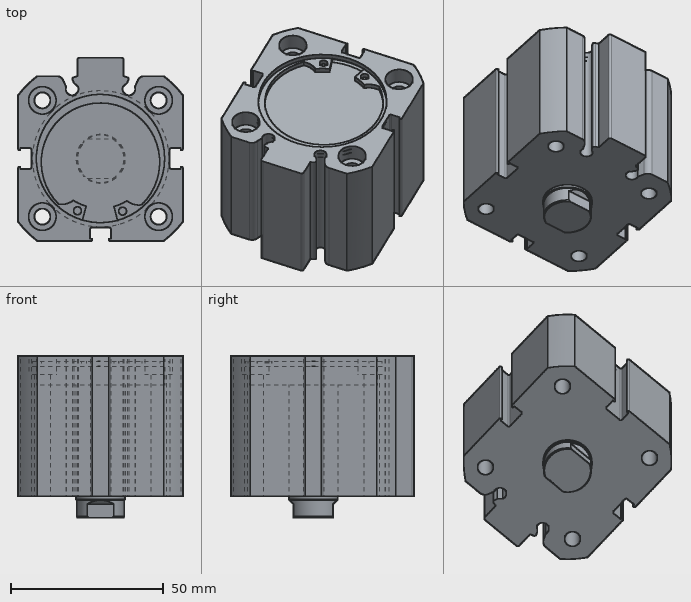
import cadquery as cq
import math


side = 54.0
half_side = side / 2
height = 45.95
corner_radius_from_axis = 34.0

rail_height = 6.0
rail_top_y = half_side + rail_height
rail_half_width = 7.55
rail_corner_radius = 0.7

groove_x = 9.3
groove_y = 22.75
groove_radius = 2.05
wall_foot_angle = 20.0
wall_top = (12.1, 25.45)
crest_middle = (12.85, 26.45)
crest_end_x = 14.2
lip_foot_angle = 155.0
lip_heel = (8.75, 24.7)
nose_lower = (9.2, 25.8)
nose_middle = (9.1, 26.35)
nose_upper = (8.65, 26.65)

slot_depth = 4.4
slot_width = 6.7
slot_mouth_width = 5.35
slot_lip = 0.8
slot_rounding = 0.5

bolt_spacing = 38.05
bolt_hole_diameter = 5.15
counterbore_diameter = 9.0
counterbore_depth = 5.95

bore_radius = 21.0
ring_recess = 1.75
ring_thickness = 1.7
cap_thickness = 6.0
ring_top_z = height - ring_recess
ring_bottom_z = ring_top_z - ring_thickness
cap_bottom_z = ring_bottom_z - cap_thickness

ring_outer_radius = 22.3
ring_inner_radius = 19.4
ring_inner_y = -1.2
ring_turn = -0.5
lug_radius = 16.3
lug_gap_angle = 16.2
lug_peak_angle = 32.5
ring_gap_angle = 15.8
lug_neck_middle = (11.4, -15.0)
ring_neck_x = 13.55
lug_hole = (7.4, -17.15)
lug_hole_diameter = 2.6

rod_diameter = 16.1
rod_end_diameter = 15.6
rod_protrusion = 7.0
rod_collar = 1.25
rod_end_chamfer_height = 0.5
rod_end_chamfer_inset = 0.25
flats_width = 13.0
flats_start = 2.5


def polar(radius, angle, center=(0, 0)):
    """Point at an angle in degrees, counted from +X."""
    turn = math.radians(angle)
    return (center[0] + radius * math.cos(turn), center[1] + radius * math.sin(turn))


def below_axis(radius, angle):
    """Point at an angle in degrees, counted from -Y toward +X."""
    return polar(radius, angle - 90)


def mirror_x(point):
    return (-point[0], point[1])


def cylinder(radius, bottom_z, top_z):
    """Solid cylinder on the bore axis between two heights."""
    return cq.Workplane("XY").workplane(offset=bottom_z).circle(radius).extrude(top_z - bottom_z)


def make_rail_groove():
    """Groove on the +X side of the rail, open toward +Y."""
    center = (groove_x, groove_y)
    return (
        cq.Workplane("XY")
        .moveTo(crest_end_x, half_side)
        .threePointArc(crest_middle, wall_top)
        .lineTo(*polar(groove_radius, wall_foot_angle, center))
        .threePointArc(polar(groove_radius, -90, center), polar(groove_radius, lip_foot_angle, center))
        .lineTo(*lip_heel)
        .lineTo(*nose_lower)
        .threePointArc(nose_middle, nose_upper)
        .lineTo(rail_half_width, half_side)
        .close()
        .extrude(height)
    )


def make_slot():
    """T-slot opening on the +X side."""
    channel_depth = slot_depth - slot_lip
    channel = (
        cq.Workplane("XY")
        .box(channel_depth, slot_width, height, centered=(False, True, False))
        .edges("|Z and <X")
        .fillet(slot_rounding)
        .translate((half_side - slot_depth, 0, 0))
    )
    half_mouth = slot_mouth_width / 2
    mouth = (
        cq.Workplane("XY")
        .moveTo(half_side - slot_lip, -half_mouth)
        .lineTo(half_side - slot_rounding, -half_mouth)
        .radiusArc((half_side, -half_mouth - slot_rounding), slot_rounding)
        .lineTo(half_side, half_mouth + slot_rounding)
        .radiusArc((half_side - slot_rounding, half_mouth), slot_rounding)
        .lineTo(half_side - slot_lip, half_mouth)
        .close()
        .extrude(height)
    )
    return channel.union(mouth)


def make_housing():
    block = cq.Workplane("XY").box(side, side, height, centered=(True, True, False))
    block = block.intersect(cylinder(corner_radius_from_axis, 0, height))

    rail = (
        cq.Workplane("XY")
        .box(2 * rail_half_width, rail_top_y - groove_y, height, centered=(True, False, False))
        .translate((0, groove_y, 0))
        .edges("|Z and >Y")
        .fillet(rail_corner_radius)
    )
    rail_groove = make_rail_groove()
    body = block.cut(rail_groove).cut(rail_groove.mirror("YZ"))
    rail = rail.cut(rail_groove).cut(rail_groove.mirror("YZ"))
    body = body.union(rail)

    slot = make_slot()
    for angle in (0, 180, 270):
        body = body.cut(slot.rotate((0, 0, 0), (0, 0, 1), angle))

    body = (
        body.faces(">Z")
        .workplane(origin=(0, 0, height))
        .rect(bolt_spacing, bolt_spacing, forConstruction=True)
        .vertices()
        .cboreHole(bolt_hole_diameter, counterbore_diameter, counterbore_depth)
    )

    bore = cylinder(bore_radius, cap_bottom_z, height)
    ring_seat = cylinder(ring_outer_radius, ring_bottom_z, ring_top_z)
    rod_hole = cylinder(rod_diameter / 2, 0, cap_bottom_z)
    return body.cut(bore).cut(ring_seat).cut(rod_hole)


def make_retaining_ring():
    """Eccentric ring open toward -Y, with a drilled lug at each end."""
    gap_corner = below_axis(ring_outer_radius, ring_gap_angle)
    lug_corner = below_axis(lug_radius, lug_gap_angle)
    lug_middle = below_axis(lug_radius, (lug_gap_angle + lug_peak_angle) / 2)
    lug_peak = below_axis(lug_radius, lug_peak_angle)
    neck = (ring_neck_x, ring_inner_y - math.sqrt(ring_inner_radius**2 - ring_neck_x**2))
    ring = (
        cq.Workplane("XY")
        .workplane(offset=ring_bottom_z)
        .moveTo(*gap_corner)
        .lineTo(*lug_corner)
        .threePointArc(lug_middle, lug_peak)
        .threePointArc(lug_neck_middle, neck)
        .threePointArc((0, ring_inner_y + ring_inner_radius), mirror_x(neck))
        .threePointArc(mirror_x(lug_neck_middle), mirror_x(lug_peak))
        .threePointArc(mirror_x(lug_middle), mirror_x(lug_corner))
        .lineTo(*mirror_x(gap_corner))
        .threePointArc((0, ring_outer_radius), gap_corner)
        .close()
        .extrude(ring_thickness)
    )
    lug_holes = (
        cq.Workplane("XY")
        .workplane(offset=ring_bottom_z)
        .pushPoints([lug_hole, mirror_x(lug_hole)])
        .circle(lug_hole_diameter / 2)
        .extrude(ring_thickness)
    )
    return ring.cut(lug_holes).rotate((0, 0, 0), (0, 0, 1), ring_turn)


def make_cap():
    return cylinder(bore_radius, cap_bottom_z, ring_bottom_z)


def make_rod():
    """Rod from the cap down through the housing, with two wrench flats on its end."""
    shank = (
        cylinder(rod_diameter / 2, -rod_collar, cap_bottom_z)
        .faces("<Z")
        .chamfer((rod_diameter - rod_end_diameter) / 2)
    )
    end = (
        cylinder(rod_end_diameter / 2, -rod_protrusion, -rod_collar)
        .faces("<Z")
        .chamfer(rod_end_chamfer_height, rod_end_chamfer_inset)
    )
    flat_cut = (
        cq.Workplane("YZ")
        .moveTo(flats_width / 2, -rod_protrusion)
        .lineTo(flats_width / 2, -flats_start)
        .lineTo(rod_end_diameter / 2, -rod_collar)
        .lineTo(rod_diameter / 2, -rod_collar)
        .lineTo(rod_diameter / 2, -rod_protrusion)
        .close()
        .extrude(rod_diameter / 2, both=True)
    )
    end = end.cut(flat_cut).cut(flat_cut.mirror("XZ"))
    return shank.union(end)


housing = make_housing()
retaining_ring = make_retaining_ring()
cap = make_cap()
rod = make_rod()

result = cq.Compound.makeCompound([housing.val(), retaining_ring.val(), cap.val(), rod.val()])